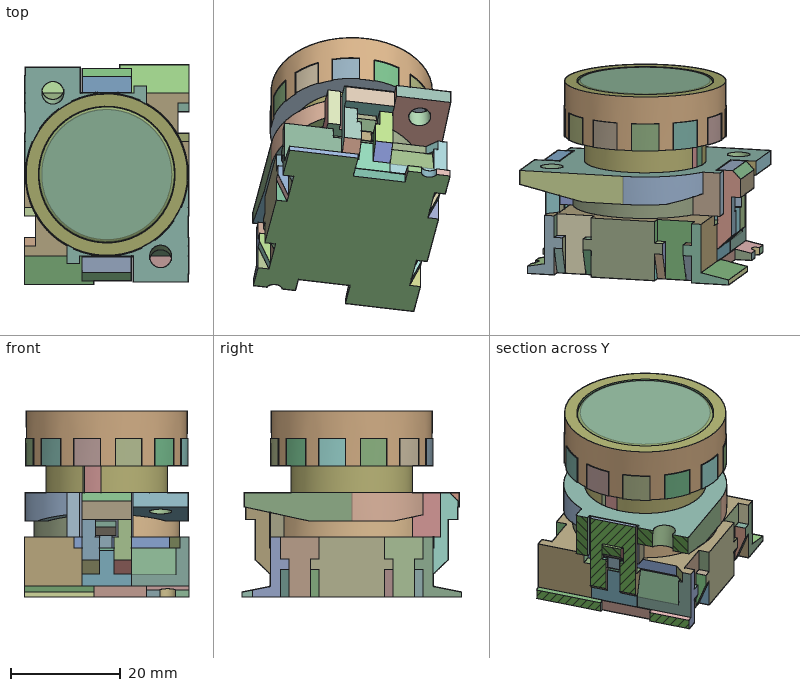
import cadquery as cq
import math


FOOT_ROOT_Z = 2.0
FOOT_TIP_Z = 0.95
NOTCH_FLOOR_Z = 9.0
BASE_TOP = 11.0
HOLDER_TOP = 19.05
ACTUATOR_TOP = 33.9

BASE_WIDTH = 30.0
BASE_DEPTH = 29.6
WALL_X = BASE_WIDTH / 2
WALL_Y = BASE_DEPTH / 2
FOOT_REACH = 20.0
LONG_FOOT_END_X = -2.35
SHORT_FOOT_REACH = 18.05
SHORT_FOOT_START_X = 7.2
FOOT_NOTCH_X = 11.1
FOOT_NOTCH_Y = 18.55
FOOT_NOTCH_RADIUS = 1.5
SILL_STEP = 0.15

NOTCH_START_X = -6.0
NOTCH_END_X = 13.3
NOTCH_DEPTH = 1.9
POCKET_END_X = 12.55
POCKET_BOTTOM_Z = 4.1
POCKET_DEPTH = 1.5

SLOT_DEPTH = 2.0
SLOT_CENTRE_Y = 9.5
SLOT_WIDTH = 7.0
SLOT_THROAT = 3.9
SHELF_TOP = 7.0
SHELF_EDGE_Z = 5.0

CLIP_HALF_WIDTH = 4.5
CLIP_GAP = 0.15
CLIP_LEG_Y = 17.55
CLIP_HEAD_Y = 19.3
CLIP_HEAD_BOTTOM = 14.1
CLIP_CHAMFER = 1.5
CLIP_BEND_Z = 6.8
CLIP_BOTTOM = 4.15
CLIP_SLIT_WIDTH = 2.65
CLIP_WINDOW_WIDTH = 4.15
PAD_STEP = 0.1
PAD_TOP = 8.5

FLANGE_RADIUS = 14.85
FLANGE_REACH = 19.55
FLANGE_EAR_Z = 16.45
FLANGE_BOTTOM = 13.85
FLANGE_FLAT_Y = 7.6
SKIRT_RADIUS = 13.25
EAR_START_X = 4.8
SCREW_X = 9.8
SCREW_Y = 14.9
SCREW_DIAMETER = 4.0
TAB_INNER_X = 4.9
TAB_OUTER_X = 7.25
TAB_REACH = 16.15
HOOK_LEFT_X = -2.1
HOOK_RIGHT_X = 1.65
HOOK_TOP = 13.85
HOOK_EDGE_Z = 12.8
HOOK_BOTTOM = 11.25
HOOK_REACH = 1.6
STEM_LEFT_X = -1.3
STEM_RIGHT_X = 1.0
STEM_THICKNESS = 0.1

BEZEL_HEIGHT = 10.0
BEZEL_RADIUS = 14.7
BEZEL_BOTTOM = ACTUATOR_TOP - BEZEL_HEIGHT
GRIP_RADIUS = 14.85
GRIP_HEIGHT = BEZEL_HEIGHT / 2
GRIP_COUNT = 12
GRIP_ANGLE = 19.7
ACTUATOR_TURN = -14.2
NECK_RADIUS = 11.1
KEYWAY_WIDTH = 3.45
KEYWAY_FLOOR_RADIUS = 10.0
BUTTON_RECESS_RADIUS = 12.45
BUTTON_RADIUS = 12.3
BUTTON_HEIGHT = 5.0
BUTTON_FILLET = 0.5


def box(x0, x1, y0, y1, z0, z1):
    """Box between two opposite corners."""
    return cq.Workplane("XY").box(x1 - x0, y1 - y0, z1 - z0, centered=False).translate((x0, y0, z0))


def cylinder(radius, z0, z1):
    """Upright cylinder on the Z axis."""
    return cq.Workplane("XY").workplane(offset=z0).circle(radius).extrude(z1 - z0)


def side_profile(points, x0, x1):
    """Outline of (y, z) points extruded along X from x0 to x1."""
    return cq.Workplane("YZ").workplane(offset=x0).polyline(points).close().extrude(x1 - x0)


def half_turn(shape):
    """Copy of a shape turned half a revolution about Z."""
    return shape.rotate((0, 0, 0), (0, 0, 1), 180)


def both_sides(shape):
    """A shape together with its half-turn copy."""
    return shape.union(half_turn(shape))


def foot(x0, x1):
    """Full-length foot with a sloping top, rooted inside the base wall."""
    points = [(0, 0), (-FOOT_REACH, 0), (-FOOT_REACH, FOOT_TIP_Z), (-WALL_Y, FOOT_ROOT_Z), (0, FOOT_ROOT_Z)]
    return side_profile(points, x0, x1)


def feet():
    """Long and short foot with a low sill between them."""
    long_foot = foot(-WALL_X, LONG_FOOT_END_X)
    trim = box(-WALL_X, WALL_X, -FOOT_REACH, -SHORT_FOOT_REACH, 0, FOOT_ROOT_Z)
    screw_notch = cylinder(FOOT_NOTCH_RADIUS, 0, FOOT_ROOT_Z).translate((FOOT_NOTCH_X, -FOOT_NOTCH_Y, 0))
    short_foot = foot(SHORT_FOOT_START_X, WALL_X).cut(trim).cut(screw_notch)
    sill = box(LONG_FOOT_END_X, SHORT_FOOT_START_X, -WALL_Y - SILL_STEP, 0, 0, FOOT_ROOT_Z)
    return long_foot.union(short_foot).union(sill)


def clip():
    """Two-legged snap clip whose upper part stands clear of the wall."""
    gap_y = -WALL_Y - CLIP_GAP
    points = [
        (-WALL_Y, CLIP_BOTTOM),
        (-CLIP_LEG_Y, CLIP_BEND_Z),
        (-CLIP_LEG_Y, CLIP_HEAD_BOTTOM),
        (-CLIP_HEAD_Y, CLIP_HEAD_BOTTOM),
        (-CLIP_HEAD_Y, HOLDER_TOP - CLIP_CHAMFER),
        (-CLIP_HEAD_Y + CLIP_CHAMFER, HOLDER_TOP),
        (gap_y, HOLDER_TOP),
        (gap_y, NOTCH_FLOOR_Z),
        (-WALL_Y, NOTCH_FLOOR_Z),
    ]
    body = side_profile(points, -CLIP_HALF_WIDTH, CLIP_HALF_WIDTH)
    slit_half = CLIP_SLIT_WIDTH / 2
    window_half = CLIP_WINDOW_WIDTH / 2
    slit = box(-slit_half, slit_half, -CLIP_LEG_Y, -WALL_Y, CLIP_BOTTOM, BASE_TOP)
    window = box(-window_half, window_half, -CLIP_LEG_Y, -WALL_Y, BASE_TOP, CLIP_HEAD_BOTTOM)
    pad = box(-CLIP_HALF_WIDTH, CLIP_HALF_WIDTH, -WALL_Y - PAD_STEP, -WALL_Y, FOOT_ROOT_Z, PAD_TOP)
    return body.cut(slit).cut(window).union(pad)


def top_notch():
    """Notch along the top edge of the wall, with a 45 degree end."""
    return (
        cq.Workplane("XY")
        .workplane(offset=NOTCH_FLOOR_Z)
        .moveTo(NOTCH_START_X, -WALL_Y)
        .lineTo(NOTCH_END_X, -WALL_Y)
        .lineTo(NOTCH_END_X - NOTCH_DEPTH, -WALL_Y + NOTCH_DEPTH)
        .lineTo(NOTCH_START_X, -WALL_Y + NOTCH_DEPTH)
        .close()
        .extrude(BASE_TOP - NOTCH_FLOOR_Z)
    )


def sloped_pocket():
    """Pocket beside the clip whose floor falls towards the wall face."""
    points = [
        (-WALL_Y, POCKET_BOTTOM_Z),
        (-WALL_Y, NOTCH_FLOOR_Z),
        (-WALL_Y + POCKET_DEPTH, NOTCH_FLOOR_Z),
    ]
    return side_profile(points, CLIP_HALF_WIDTH, POCKET_END_X)


def terminal_slot(centre_y):
    """Slot in the -X wall, narrowed by a pair of shelves that taper away downwards."""
    floor_x = -WALL_X + SLOT_DEPTH
    y0 = centre_y - SLOT_WIDTH / 2
    opening = box(-WALL_X, floor_x, y0, y0 + SLOT_WIDTH, 0, BASE_TOP)
    shelves = (
        cq.Workplane("XZ", origin=(0, y0 + SLOT_WIDTH, 0))
        .moveTo(floor_x, 0)
        .lineTo(floor_x, SHELF_TOP)
        .lineTo(-WALL_X, SHELF_TOP)
        .lineTo(-WALL_X, SHELF_EDGE_Z)
        .close()
        .extrude(SLOT_WIDTH)
    )
    throat_y = centre_y - SLOT_THROAT / 2
    throat = box(-WALL_X, floor_x, throat_y, throat_y + SLOT_THROAT, 0, SHELF_TOP)
    return opening.cut(shelves.cut(throat))


def make_base():
    """Solid block with notches, slots, feet and clips."""
    block = box(-WALL_X, WALL_X, -WALL_Y, WALL_Y, 0, BASE_TOP)
    cuts = top_notch().union(sloped_pocket())
    for centre_y in (-SLOT_CENTRE_Y, SLOT_CENTRE_Y):
        cuts = cuts.union(terminal_slot(centre_y))
    base = block.union(both_sides(feet())).cut(both_sides(cuts))
    return base.union(both_sides(clip()))


def flange():
    """Round plate with two opposite ears, thinned towards its +Y and -Y ends."""
    ear = box(EAR_START_X, FLANGE_RADIUS, -FLANGE_REACH, 0, FLANGE_BOTTOM, HOLDER_TOP)
    plate = cylinder(FLANGE_RADIUS, FLANGE_BOTTOM, HOLDER_TOP).union(both_sides(ear))
    taper = side_profile(
        [(-FLANGE_FLAT_Y, FLANGE_BOTTOM), (-FLANGE_REACH, FLANGE_BOTTOM), (-FLANGE_REACH, FLANGE_EAR_Z)],
        -FLANGE_RADIUS,
        FLANGE_RADIUS,
    )
    return plate.cut(both_sides(taper))


def screw_hole():
    """Hole through an ear, square to its sloping underside."""
    slope = math.degrees(math.atan2(FLANGE_EAR_Z - FLANGE_BOTTOM, FLANGE_REACH - FLANGE_FLAT_Y))
    half_length = HOLDER_TOP - FLANGE_BOTTOM
    hole = cylinder(SCREW_DIAMETER / 2, -half_length, half_length).rotate((0, 0, 0), (1, 0, 0), -slope)
    return hole.translate((SCREW_X, -SCREW_Y, HOLDER_TOP))


def hook():
    """Snap hook and its stem, facing the window of the clip."""
    points = [
        (-WALL_Y, HOOK_BOTTOM),
        (-WALL_Y - HOOK_REACH, HOOK_EDGE_Z),
        (-WALL_Y - HOOK_REACH, HOOK_TOP),
        (-WALL_Y, HOOK_TOP),
    ]
    head = side_profile(points, HOOK_LEFT_X, HOOK_RIGHT_X)
    stem_y = -WALL_Y - STEM_THICKNESS
    stem = box(STEM_LEFT_X, STEM_RIGHT_X, stem_y, -WALL_Y + NOTCH_DEPTH, NOTCH_FLOOR_Z, HOOK_BOTTOM)
    return head.union(stem)


def make_holder():
    """Flange on a skirt, with end blocks, tabs, hooks and a bore for the neck."""
    spine = box(-TAB_INNER_X, EAR_START_X, -WALL_Y, 0, BASE_TOP, HOLDER_TOP)
    tab = box(-TAB_OUTER_X, -TAB_INNER_X, -TAB_REACH, 0, BASE_TOP, HOLDER_TOP)
    slot = box(-TAB_INNER_X, EAR_START_X, -FLANGE_REACH, -WALL_Y, BASE_TOP, HOLDER_TOP)
    holder = cylinder(SKIRT_RADIUS, BASE_TOP, HOLDER_TOP).union(flange())
    holder = holder.union(both_sides(spine.union(tab)))
    holder = holder.cut(both_sides(slot.union(screw_hole())))
    bore = cylinder(NECK_RADIUS, BASE_TOP, HOLDER_TOP)
    return holder.union(both_sides(hook())).cut(bore)


def grip_pads():
    """Ring of raised pads around the lower half of the bezel."""
    half_angle = math.radians(GRIP_ANGLE / 2)
    far = 2 * GRIP_RADIUS
    wedge = (
        cq.Workplane("XY")
        .workplane(offset=BEZEL_BOTTOM)
        .polyline([(0, 0), (-far * math.sin(half_angle), -far), (far * math.sin(half_angle), -far)])
        .close()
        .extrude(GRIP_HEIGHT)
    )
    ring = cylinder(GRIP_RADIUS, BEZEL_BOTTOM, BEZEL_BOTTOM + GRIP_HEIGHT)
    pad = ring.intersect(wedge)
    pads = pad
    for index in range(1, GRIP_COUNT):
        pads = pads.union(pad.rotate((0, 0, 0), (0, 0, 1), index * 360 / GRIP_COUNT))
    return pads


def keyway():
    """Upright groove in the neck with a floor concentric to it."""
    half = KEYWAY_WIDTH / 2
    channel = box(-half, half, -NECK_RADIUS, 0, BASE_TOP, BEZEL_BOTTOM)
    return channel.cut(cylinder(KEYWAY_FLOOR_RADIUS, BASE_TOP, BEZEL_BOTTOM))


def make_actuator():
    """Bezel on a neck that passes through the holder down to the base."""
    neck = cylinder(NECK_RADIUS, BASE_TOP, BEZEL_BOTTOM).cut(keyway())
    bezel = cylinder(BEZEL_RADIUS, BEZEL_BOTTOM, ACTUATOR_TOP).union(grip_pads())
    recess = cylinder(BUTTON_RECESS_RADIUS, ACTUATOR_TOP - BUTTON_HEIGHT, ACTUATOR_TOP)
    actuator = neck.union(bezel).cut(recess)
    return actuator.rotate((0, 0, 0), (0, 0, 1), ACTUATOR_TURN)


def make_button():
    """Plain disc that fills the recess of the bezel, with a rounded rim."""
    button = cylinder(BUTTON_RADIUS, ACTUATOR_TOP - BUTTON_HEIGHT, ACTUATOR_TOP)
    return button.faces(">Z").edges().fillet(BUTTON_FILLET)


base = make_base().solids()
holder = make_holder().solids()
actuator = make_actuator().solids()
button = make_button().solids()
result = cq.Compound.makeCompound([base.val(), holder.val(), actuator.val(), button.val()])